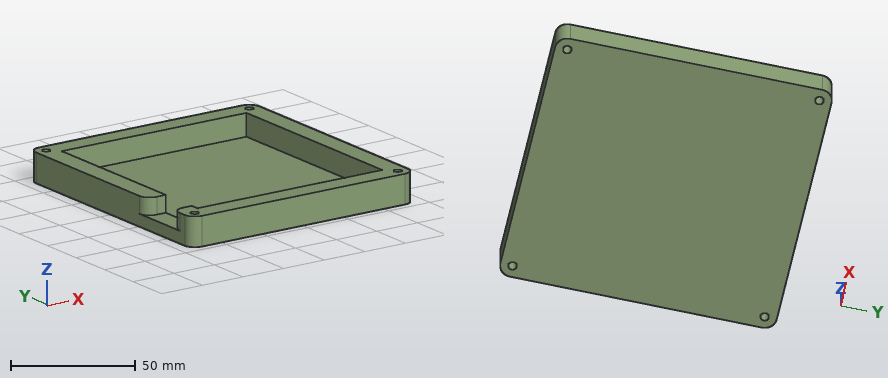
import cadquery as cq

length_x = 110.0
length_y = 114.2
height = 13.0
corner_radius = 5.0

cavity_x = 91.0
cavity_y = 95.3
cavity_floor_z = 3.0

notch_width = 18.3
notch_floor_z = 5.5
notch_front_offset = 13.5
notch_mouth_radius = corner_radius

hole_diameter = 3.4

left_face_x = -length_x / 2
cavity_left_x = -cavity_x / 2
notch_front_y = -length_y / 2 + notch_front_offset
notch_back_y = notch_front_y + notch_width
hole_spacing_x = length_x - 2 * corner_radius
hole_spacing_y = length_y - 2 * corner_radius


def make_block():
    """Solid block with rounded vertical corners, standing on Z = 0."""
    block = cq.Workplane("XY").box(length_x, length_y, height, centered=(True, True, False))
    return block.edges("|Z").fillet(corner_radius)


def make_cavity():
    """Sharp-cornered rectangular pocket."""
    cavity = cq.Workplane("XY", origin=(0, 0, cavity_floor_z))
    return cavity.rect(cavity_x, cavity_y).extrude(height - cavity_floor_z)


def make_notch():
    """Wall notch whose sides flare out to the left face in tangent arcs."""
    radius = notch_mouth_radius
    arc_end_x = left_face_x + radius
    return (
        cq.Workplane("XY", origin=(0, 0, notch_floor_z))
        .moveTo(cavity_left_x, notch_front_y)
        .lineTo(arc_end_x, notch_front_y)
        .radiusArc((left_face_x, notch_front_y - radius), -radius)
        .lineTo(left_face_x, notch_back_y + radius)
        .radiusArc((arc_end_x, notch_back_y), -radius)
        .lineTo(cavity_left_x, notch_back_y)
        .close()
        .extrude(height - notch_floor_z)
    )


def make_screw_holes():
    """Four through holes, one at each corner."""
    holes = cq.Workplane("XY").rect(hole_spacing_x, hole_spacing_y, forConstruction=True)
    return holes.vertices().circle(hole_diameter / 2).extrude(height)


result = make_block().cut(make_cavity()).cut(make_notch()).cut(make_screw_holes())